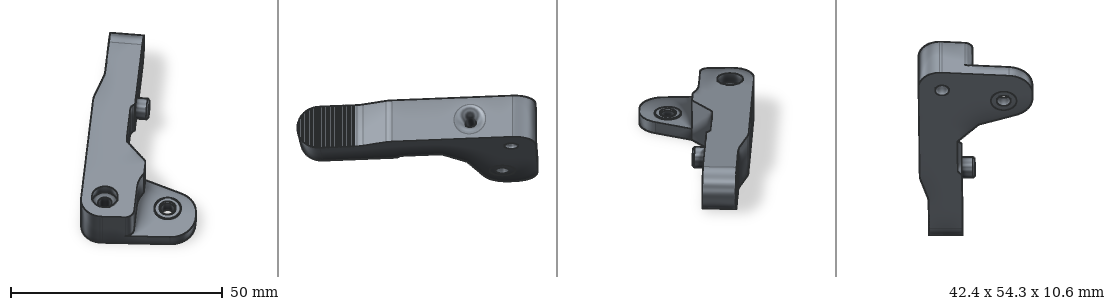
import cadquery as cq
import math

LEAN_ANGLE = 22.5

LEVER_HEIGHT = 10.6
EAR_THICKNESS = 3.0
MID_HEIGHT = LEVER_HEIGHT / 2

BACK_X = -5.6
GRIP_BACK_X = -3.6
GRIP_FRONT_X = 4.4
WAIST_FRONT_X = 3.4
FOOT_FRONT_X = 7.25
CROWN_X = 8.5
TIP_Y = 50.45
GRIP_BEND_Y = 35.6
BACK_BEND_Y = 28.55
GRIP_FRONT_END_Y = 27.7
WAIST_BOTTOM_Y = 16.9
CROWN_Y = 11.35
BOTTOM_Y = -5.8
BEND_RADIUS = 5.0
HEEL_RADIUS = 5.0
WAIST_RADIUS = 1.5
FOOT_CORNER_RADIUS = 2.0

EAR_BOTTOM_RISE = 1.5
EAR_SIDE_X = 21.4
EAR_TOP_Y = 6.85
EAR_RADIUS = 5.95

INSERT_X = 14.55
INSERT_Y = 3.6
INSERT_DIAMETER = 6.1
INSERT_PROUD = 0.15
INSERT_BORE = 3.3
INSERT_BORE_CHAMFER = 0.3
SEAT_CHAMFER = 0.15
BEARING_CLEARANCE_RADIUS = INSERT_X - FOOT_FRONT_X

PIVOT_BORE = 3.3
PIVOT_HEAD_DIAMETER = 6.15
PIVOT_HEAD_DEPTH = 2.5

FILAMENT_BORE = 2.55
FILAMENT_Y = 9.35
FILAMENT_Z = 5.0
BELL_RADIUS = 2.5

PEG_DIAMETER = 5.0
PEG_LENGTH = 3.1
PEG_CHAMFER = 0.5
PEG_Y = 30.35

GROOVE_COUNT = 14
GROOVE_PITCH = 1.0
GROOVE_WIDTH = 0.55
GROOVE_DEPTH = 0.1
FIRST_GROOVE_FROM_TIP = 0.3


def round_upright_edge(body, x, y, radius):
    """Fillets the Z-parallel edge that passes through (x, y)."""
    reach = 0.025
    low_corner = (x - reach, y - reach, 0)
    high_corner = (x + reach, y + reach, LEVER_HEIGHT)
    box = cq.selectors.BoxSelector(low_corner, high_corner)
    return body.edges("|Z").edges(box).fillet(radius)


def bottom_y(x):
    """Y of the sloping bottom edge, which rises from the pivot to the far side of the ear."""
    return BOTTOM_Y + EAR_BOTTOM_RISE * max(x, 0) / EAR_SIDE_X


def make_arm():
    notch_y = GRIP_FRONT_END_Y - (GRIP_FRONT_X - WAIST_FRONT_X)
    clearance_y = INSERT_Y + math.sqrt(BEARING_CLEARANCE_RADIUS**2 - (INSERT_X - CROWN_X) ** 2)
    half_angle = math.atan2(clearance_y - INSERT_Y, INSERT_X - CROWN_X) / 2
    clearance_middle = (
        INSERT_X - BEARING_CLEARANCE_RADIUS * math.cos(half_angle),
        INSERT_Y + BEARING_CLEARANCE_RADIUS * math.sin(half_angle),
    )
    foot_corner_y = bottom_y(FOOT_FRONT_X)
    arm = (
        cq.Workplane("XY")
        .moveTo(BACK_X, BOTTOM_Y)
        .lineTo(BACK_X, BACK_BEND_Y)
        .lineTo(GRIP_BACK_X, GRIP_BEND_Y)
        .lineTo(GRIP_BACK_X, TIP_Y)
        .lineTo(GRIP_FRONT_X, TIP_Y)
        .lineTo(GRIP_FRONT_X, GRIP_FRONT_END_Y)
        .lineTo(WAIST_FRONT_X, notch_y)
        .lineTo(WAIST_FRONT_X, WAIST_BOTTOM_Y)
        .lineTo(CROWN_X, CROWN_Y)
        .lineTo(CROWN_X, clearance_y)
        .threePointArc(clearance_middle, (FOOT_FRONT_X, INSERT_Y))
        .lineTo(FOOT_FRONT_X, foot_corner_y)
        .lineTo(0, BOTTOM_Y)
        .close()
        .extrude(LEVER_HEIGHT)
    )
    arm = round_upright_edge(arm, BACK_X, BOTTOM_Y, HEEL_RADIUS)
    arm = round_upright_edge(arm, BACK_X, BACK_BEND_Y, BEND_RADIUS)
    arm = round_upright_edge(arm, GRIP_BACK_X, GRIP_BEND_Y, BEND_RADIUS)
    arm = round_upright_edge(arm, WAIST_FRONT_X, notch_y, WAIST_RADIUS)
    arm = round_upright_edge(arm, WAIST_FRONT_X, WAIST_BOTTOM_Y, WAIST_RADIUS)
    arm = round_upright_edge(arm, FOOT_FRONT_X, foot_corner_y, FOOT_CORNER_RADIUS)
    return arm.intersect(make_tip_envelope())


def make_tip_envelope():
    """Side profile of the arm: a half round at the tip, as tall as the lever."""
    straight_end_y = TIP_Y - MID_HEIGHT
    length = CROWN_X - BACK_X
    return (
        cq.Workplane("YZ", origin=(BACK_X, 0, 0))
        .moveTo(BOTTOM_Y, 0)
        .lineTo(straight_end_y, 0)
        .threePointArc((TIP_Y, MID_HEIGHT), (straight_end_y, LEVER_HEIGHT))
        .lineTo(BOTTOM_Y, LEVER_HEIGHT)
        .close()
        .extrude(length)
    )


def make_ear():
    side_bottom_y = bottom_y(EAR_SIDE_X)
    ear = (
        cq.Workplane("XY")
        .moveTo(0, BOTTOM_Y)
        .lineTo(EAR_SIDE_X, side_bottom_y)
        .lineTo(EAR_SIDE_X, EAR_TOP_Y)
        .lineTo(CROWN_X, CROWN_Y)
        .lineTo(0, CROWN_Y)
        .close()
        .extrude(EAR_THICKNESS)
    )
    ear = round_upright_edge(ear, EAR_SIDE_X, side_bottom_y, EAR_RADIUS)
    return round_upright_edge(ear, EAR_SIDE_X, EAR_TOP_Y, EAR_RADIUS)


def make_peg():
    return (
        cq.Workplane("YZ", origin=(GRIP_FRONT_X, PEG_Y, MID_HEIGHT))
        .circle(PEG_DIAMETER / 2)
        .extrude(PEG_LENGTH)
        .faces(">X")
        .chamfer(PEG_CHAMFER)
    )


def make_grooves():
    """Row of shallow V grooves across the back of the grip."""
    first_y = TIP_Y - FIRST_GROOVE_FROM_TIP
    centres = [(GRIP_BACK_X, first_y - i * GROOVE_PITCH) for i in range(GROOVE_COUNT)]
    half_width = GROOVE_WIDTH / 2
    groove = (
        cq.Workplane("XY")
        .moveTo(0, -half_width)
        .lineTo(GROOVE_DEPTH, 0)
        .lineTo(0, half_width)
        .close()
        .extrude(LEVER_HEIGHT)
        .val()
    )
    return cq.Workplane("XY").pushPoints(centres).eachpoint(lambda place: groove.moved(place))


def make_pivot_hole():
    bore = cq.Workplane("XY").circle(PIVOT_BORE / 2).extrude(LEVER_HEIGHT)
    floor_z = LEVER_HEIGHT - PIVOT_HEAD_DEPTH
    head = cq.Workplane("XY", origin=(0, 0, floor_z)).circle(PIVOT_HEAD_DIAMETER / 2).extrude(PIVOT_HEAD_DEPTH)
    return bore.union(head)


def make_filament_hole():
    """Bore across the foot, flaring into a rounded bell mouth at the back face."""
    bore_radius = FILAMENT_BORE / 2
    mouth_radius = bore_radius + BELL_RADIUS
    arc_offset = BELL_RADIUS * (1 - math.sqrt(0.5))
    length = CROWN_X - BACK_X
    return (
        cq.Workplane("XY", origin=(BACK_X, FILAMENT_Y, FILAMENT_Z))
        .lineTo(0, mouth_radius)
        .threePointArc((arc_offset, bore_radius + arc_offset), (BELL_RADIUS, bore_radius))
        .lineTo(length, bore_radius)
        .lineTo(length, 0)
        .close()
        .revolve(360, (0, 0, 0), (1, 0, 0))
    )


def make_insert_seat():
    """Through hole for the insert with a small chamfer at the top of the ear."""
    radius = INSERT_DIAMETER / 2
    return (
        cq.Workplane("XZ", origin=(INSERT_X, INSERT_Y, 0))
        .lineTo(radius, 0)
        .lineTo(radius, EAR_THICKNESS - SEAT_CHAMFER)
        .lineTo(radius + SEAT_CHAMFER, EAR_THICKNESS)
        .lineTo(0, EAR_THICKNESS)
        .close()
        .revolve(360, (0, 0, 0), (0, 1, 0))
    )


def make_lever():
    solid = make_arm().union(make_ear()).union(make_peg())
    for cutter in (make_grooves(), make_pivot_hole(), make_filament_hole(), make_insert_seat()):
        solid = solid.cut(cutter)
    return solid


def make_insert():
    """Insert, a plain chamfered sleeve standing slightly proud of the ear."""
    return (
        cq.Workplane("XY", origin=(INSERT_X, INSERT_Y, 0))
        .circle(INSERT_DIAMETER / 2)
        .circle(INSERT_BORE / 2)
        .extrude(EAR_THICKNESS + INSERT_PROUD)
        .faces(">Z")
        .edges(cq.selectors.RadiusNthSelector(0))
        .chamfer(INSERT_BORE_CHAMFER)
    )


def lean(body):
    return body.rotate((0, 0, 0), (0, 0, 1), LEAN_ANGLE)


lever = lean(make_lever())
insert = lean(make_insert())
result = cq.Compound.makeCompound([lever.val(), insert.val()])